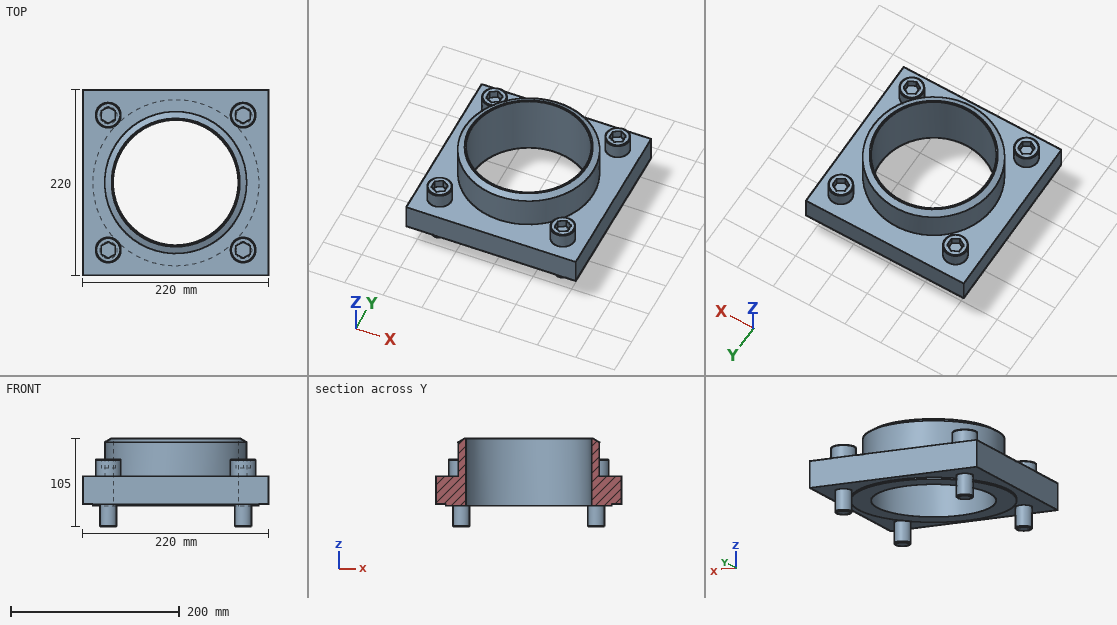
import cadquery as cq
import math

plate_side = 220.0
plate_thickness = 33.0

neck_diameter = 168.3
neck_wall = 10.0
bore_diameter = neck_diameter - 2 * neck_wall
neck_height = 45.0
neck_top = plate_thickness + neck_height
bevel_angle = 30.0
root_face_width = 2.0
bevel_width = neck_wall - root_face_width
bevel_height = bevel_width * math.tan(math.radians(bevel_angle))

raised_face_diameter = 197.0
raised_face_height = 2.0

bolt_circle_diameter = 226.0
screw_spacing = bolt_circle_diameter / math.sqrt(2)
screw_diameter = 20.0
screw_length = 60.0
tip_chamfer = 1.5
head_diameter = 30.0
head_height = screw_diameter
head_chamfer = 1.0
socket_across_flats = 17.0
socket_depth = 10.0
hexagon_sides = 6


def make_plate():
    return cq.Workplane("XY").rect(plate_side, plate_side).extrude(plate_thickness)


def make_neck():
    """Solid stub with a conical bevel; the bore is cut through afterwards."""
    outer_radius = neck_diameter / 2
    stub_profile = (
        cq.Workplane("XZ")
        .moveTo(0, 0)
        .lineTo(outer_radius, 0)
        .lineTo(outer_radius, neck_top - bevel_height)
        .lineTo(outer_radius - bevel_width, neck_top)
        .lineTo(0, neck_top)
        .close()
    )
    return stub_profile.revolve(360, (0, 0, 0), (0, 1, 0))


def make_raised_face():
    return cq.Workplane("XY").circle(raised_face_diameter / 2).extrude(-raised_face_height)


def make_bore():
    bore_start = cq.Workplane("XY").workplane(offset=-raised_face_height)
    return bore_start.circle(bore_diameter / 2).extrude(raised_face_height + neck_top)


def make_screw():
    """Cap screw on the Z axis with its head seated on top of the plate."""
    seat = cq.Workplane("XY").workplane(offset=plate_thickness)
    shank = seat.circle(screw_diameter / 2).extrude(-screw_length)
    shank = shank.faces("<Z").chamfer(tip_chamfer)
    head = seat.circle(head_diameter / 2).extrude(head_height)
    head = head.faces(">Z").edges().chamfer(head_chamfer)
    across_corners = socket_across_flats / math.cos(math.pi / hexagon_sides)
    socket = (
        cq.Workplane("XY")
        .workplane(offset=plate_thickness + head_height)
        .polygon(hexagon_sides, across_corners)
        .extrude(-socket_depth)
    )
    socket = socket.rotate((0, 0, 0), (0, 0, 1), 180 / hexagon_sides)
    return head.union(shank).cut(socket)


result = make_plate().union(make_neck()).union(make_raised_face()).cut(make_bore())

screw = make_screw()
for x_side in (-1, 1):
    for y_side in (-1, 1):
        screw_position = (x_side * screw_spacing / 2, y_side * screw_spacing / 2, 0)
        result = result.union(screw.translate(screw_position))